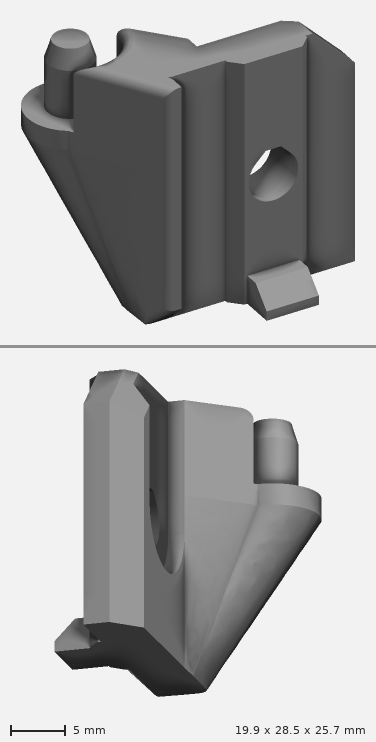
import cadquery as cq
import math

total_height = 25.7
round_radius = 1.0

disc_radius = 4.5
disc_bottom = 16.55
disc_top = 18.58
pin_diameter = 4.8
pin_tip_diameter = 3.53
pin_taper_height = 2.0
clearance_radius = 4.75
clearance_edge_angle = 15.0

plate_left = 5.47
plate_right = 10.45
plate_back = 24.0
plate_front = 9.25
plate_chamfer = 2.5
back_bevel = 4.5

pocket_depth = 1.57
pocket_radius = 5.25
pocket_y = plate_front + pocket_radius
pocket_z = 12.82
hole_radius = 2.62
hole_flat_height = 2.9

pad_right = 11.9
pad_root_x = 10.75
pad_half_width = 3.08
tab_right = 15.4
tab_half_width = 2.76
tab_height = 3.0
tab_chamfer = 2.0

tip_x = 12.48
tip_front_y = 2.95
tip_back_y = 4.45
notch_width = 0.15
notch_length = 0.43
notch_depth = 0.17
disc_tangent_angle = -33.0
foot_front_y = 1.7
foot_side_y = 6.65
foot_flat_x = 7.5
foot_end_top_x = 10.32
foot_end_bottom_x = 10.75


def disc_point(angle):
    """Point on the rim of the support disc, angle in degrees from +X."""
    turn = math.radians(angle)
    return (disc_radius * math.cos(turn), disc_radius * math.sin(turn))


arm_start = disc_point(disc_tangent_angle)
arm_slope = (tip_front_y - arm_start[1]) / (tip_x - arm_start[0])


def arm_front_point(x):
    """Point on the slanted front face of the arm."""
    return (x, tip_front_y + (x - tip_x) * arm_slope)


plate_corner = (plate_left, plate_front)
tip_front = (tip_x, tip_front_y)
arm_end_points = [tip_front, (tip_x, tip_back_y), (plate_right, tip_back_y), (plate_right, plate_front)]


def make_plate():
    width = plate_right - plate_left
    length = plate_back - plate_front
    plate = (
        cq.Workplane("XY")
        .box(width, length, total_height, centered=False)
        .translate((plate_left, plate_front, 0))
    )
    plate = plate.edges(">Y and >Z").chamfer(back_bevel)
    bevel_side = cq.selectors.NearestToPointSelector(
        (plate_left, plate_back - back_bevel / 2, total_height - back_bevel / 2)
    )
    back_side = cq.selectors.NearestToPointSelector((plate_left, plate_back, total_height / 2))
    return plate.edges(bevel_side + back_side).chamfer(plate_chamfer)


def make_pad_and_tab():
    plate_inside = plate_left + plate_chamfer
    root_half_width = pad_half_width + pad_right - pad_root_x
    pad = (
        cq.Workplane("XY")
        .polyline([
            (plate_inside, pocket_y - root_half_width),
            (pad_root_x, pocket_y - root_half_width),
            (pad_right, pocket_y - pad_half_width),
            (pad_right, pocket_y + pad_half_width),
            (pad_root_x, pocket_y + root_half_width),
            (plate_inside, pocket_y + root_half_width),
        ])
        .close()
        .extrude(total_height)
    )
    tab = (
        cq.Workplane("XY")
        .box(tab_right - plate_right, 2 * tab_half_width, tab_height, centered=False)
        .translate((plate_right, pocket_y - tab_half_width, 0))
        .edges(">X and >Z")
        .chamfer(tab_chamfer)
    )
    return pad.union(tab)


def make_arm_top():
    """Full-section arm above the foot, cut clear around the pin."""
    outline = [plate_corner, disc_point(90), (0, 0), arm_start] + arm_end_points
    arm = (
        cq.Workplane("XY", origin=(0, 0, disc_bottom))
        .polyline(outline)
        .close()
        .extrude(total_height - disc_bottom)
    )
    clearance = (
        cq.Workplane("XY", origin=(0, 0, disc_top))
        .circle(clearance_radius)
        .extrude(total_height - disc_top)
    )
    return arm.cut(clearance)


def make_foot():
    """Ruled transition from the arm and disc outline to the narrow bottom outline."""
    corner_mid = round_radius * (1 - math.sqrt(0.5))
    bottom = (
        cq.Workplane("XY")
        .moveTo(*plate_corner)
        .lineTo(plate_left, foot_side_y)
        .lineTo(plate_left, foot_front_y + round_radius)
        .threePointArc(
            (plate_left + corner_mid, foot_front_y + corner_mid),
            (plate_left + round_radius, foot_front_y),
        )
        .lineTo(foot_flat_x, foot_front_y)
        .lineTo(*arm_front_point(foot_end_bottom_x))
    )
    top = (
        cq.Workplane("XY", origin=(0, 0, disc_bottom))
        .moveTo(*plate_corner)
        .lineTo(*disc_point(90))
        .threePointArc(disc_point(135), disc_point(180))
        .threePointArc(disc_point(225), disc_point(270))
        .threePointArc(disc_point((270 + 360 + disc_tangent_angle) / 2), arm_start)
        .lineTo(*arm_front_point(foot_end_top_x))
    )
    wires = []
    for outline in (bottom, top):
        for point in arm_end_points:
            outline = outline.lineTo(*point)
        wires.append(outline.close().val())
    return cq.Workplane(cq.Solid.makeLoft(wires, True))


def make_arm():
    arm = make_arm_top().union(make_foot())

    rise = tip_x - plate_right
    undercut = (
        cq.Workplane("XZ")
        .polyline([(plate_right, 0), (tip_x, 0), (tip_x, rise)])
        .close()
        .extrude(-plate_front)
    )
    arm = arm.cut(undercut)

    middle = arm_front_point((arm_start[0] + tip_x) / 2)
    slant_top = cq.selectors.NearestToPointSelector((*middle, total_height))
    clearance_turn = math.radians(clearance_edge_angle)
    clearance_top = cq.selectors.NearestToPointSelector((
        clearance_radius * math.cos(clearance_turn),
        clearance_radius * math.sin(clearance_turn),
        total_height,
    ))
    tip_edge = cq.selectors.NearestToPointSelector((*tip_front, total_height / 2))
    undercut_edge = cq.selectors.NearestToPointSelector(
        (*arm_front_point(tip_x - rise / 2), rise / 2)
    )
    return arm.edges(slant_top + clearance_top + tip_edge + undercut_edge).fillet(round_radius)


def make_disc_and_pin():
    disc = (
        cq.Workplane("XY", origin=(0, 0, disc_bottom))
        .circle(disc_radius)
        .extrude(disc_top - disc_bottom)
    )
    pin_radius = pin_diameter / 2
    pin = (
        cq.Workplane("XZ")
        .polyline([
            (0, disc_bottom),
            (pin_radius, disc_bottom),
            (pin_radius, total_height - pin_taper_height),
            (pin_tip_diameter / 2, total_height),
            (0, total_height),
        ])
        .close()
        .revolve(360, (0, 0, 0), (0, 1, 0))
    )
    return disc.union(pin)


def make_pocket():
    """Pocket in the left face, open at the top and round at the bottom."""
    return (
        cq.Workplane("YZ", origin=(plate_left, 0, 0))
        .moveTo(pocket_y - pocket_radius, total_height)
        .lineTo(pocket_y - pocket_radius, pocket_z)
        .threePointArc((pocket_y, pocket_z - pocket_radius), (pocket_y + pocket_radius, pocket_z))
        .lineTo(pocket_y + pocket_radius, total_height)
        .close()
        .extrude(pocket_depth)
    )


def make_hole():
    """Through hole along X with a flat top between two 45 degree tangents."""
    tangent = hole_radius * math.sqrt(0.5)
    flat_half_width = hole_radius * math.sqrt(2) - hole_flat_height
    return (
        cq.Workplane("YZ", origin=(plate_left, 0, 0))
        .moveTo(pocket_y + tangent, pocket_z + tangent)
        .lineTo(pocket_y + flat_half_width, pocket_z + hole_flat_height)
        .lineTo(pocket_y - flat_half_width, pocket_z + hole_flat_height)
        .lineTo(pocket_y - tangent, pocket_z + tangent)
        .threePointArc((pocket_y, pocket_z - hole_radius), (pocket_y + tangent, pocket_z + tangent))
        .close()
        .extrude(pad_right - plate_left)
    )


def make_notch():
    """Small relief where the back of the tip meets the plate."""
    return (
        cq.Workplane("XY")
        .polyline([
            (plate_right, tip_back_y),
            (plate_right - notch_width, tip_back_y - notch_depth),
            (plate_right + notch_length, tip_back_y),
        ])
        .close()
        .extrude(total_height)
    )


plate = make_plate().union(make_pad_and_tab())
body = plate.union(make_arm()).union(make_disc_and_pin())
result = body.cut(make_pocket()).cut(make_hole()).cut(make_notch())